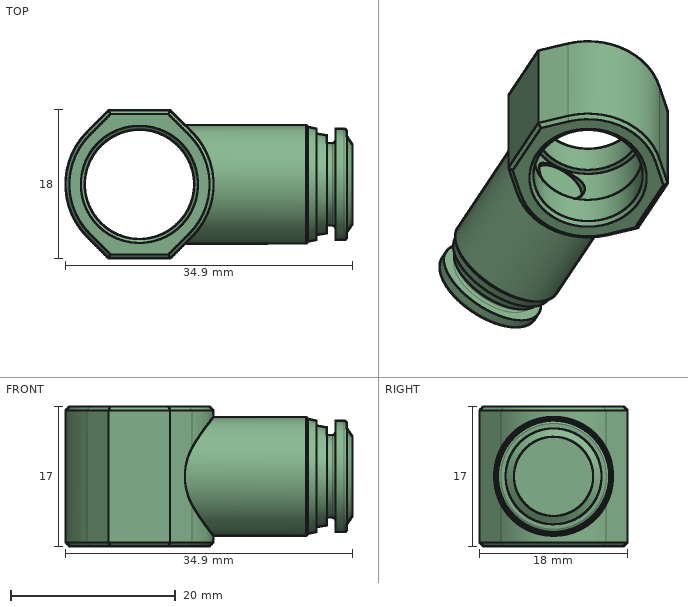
import cadquery as cq
import math

ring_radius = 9.0
ring_height = 17.0
octagon_turn = math.radians(45)
edge_chamfer = 0.5
bore_radius = 6.63
bore_chamfer = edge_chamfer

groove_half_height = 3.3
groove_radius = 7.22

arm_radius = 7.22
arm_end = 20.25
cap_lip_length = 0.25
cap_lip_radius = 6.98
cap_end = 21.55
cap_end_radius = 6.77
collet_seat_radius = 6.18
collet_seat_end = 22.75
collet_seat_end_radius = 5.97

neck_radius = 5.03
flange_start = 23.8
flange_radius = 6.77
flange_end = 25.2
flange_edge_fillet = 0.35
neck_fillet = 0.35
tip_end = 25.9
tip_base_radius = 5.83
tip_end_radius = 4.8

port_radius = 3.18
port_end = 7.3


def ring_body():
    """Round on the -X and +X sides, octagonal towards -Y and +Y, chamfered at both ends."""
    half_flat = ring_radius * math.tan(octagon_turn / 2)
    tangent = ring_radius * math.cos(octagon_turn)
    outline = (
        cq.Workplane("XY")
        .workplane(offset=-ring_height / 2)
        .moveTo(-half_flat, ring_radius)
        .lineTo(half_flat, ring_radius)
        .lineTo(tangent, tangent)
        .threePointArc((ring_radius, 0), (tangent, -tangent))
        .lineTo(half_flat, -ring_radius)
        .lineTo(-half_flat, -ring_radius)
        .lineTo(-tangent, -tangent)
        .threePointArc((-ring_radius, 0), (-tangent, tangent))
        .close()
    )
    return outline.extrude(ring_height).faces("<Z or >Z").chamfer(edge_chamfer)


def arm():
    """Stepped arm and release collar, revolved around the X axis."""
    corner_gap = 1 - math.sqrt(0.5)
    neck_corner = neck_fillet * corner_gap
    edge_corner = flange_edge_fillet * corner_gap
    profile = (
        cq.Workplane("XY")
        .lineTo(0, arm_radius)
        .lineTo(arm_end, arm_radius)
        .lineTo(arm_end + cap_lip_length, cap_lip_radius)
        .lineTo(cap_end, cap_end_radius)
        .lineTo(cap_end, collet_seat_radius)
        .lineTo(collet_seat_end, collet_seat_end_radius)
        .lineTo(collet_seat_end, neck_radius)
        .lineTo(flange_start - neck_fillet, neck_radius)
        .threePointArc(
            (flange_start - neck_corner, neck_radius + neck_corner),
            (flange_start, neck_radius + neck_fillet),
        )
        .lineTo(flange_start, flange_radius)
        .lineTo(flange_end - flange_edge_fillet, flange_radius)
        .threePointArc(
            (flange_end - edge_corner, flange_radius - edge_corner),
            (flange_end, flange_radius - flange_edge_fillet),
        )
        .lineTo(flange_end, tip_base_radius)
        .lineTo(tip_end, tip_end_radius)
        .lineTo(tip_end, 0)
        .close()
    )
    return profile.revolve(360, (0, 0, 0), (1, 0, 0))


def bore():
    """Through bore with chamfered mouths and the wider groove at mid-height."""
    mouth_radius = bore_radius + bore_chamfer
    half_height = ring_height / 2
    chamfer_start = half_height - bore_chamfer
    profile = (
        cq.Workplane("XZ")
        .moveTo(0, -half_height)
        .lineTo(mouth_radius, -half_height)
        .lineTo(bore_radius, -chamfer_start)
        .lineTo(bore_radius, -groove_half_height)
        .lineTo(groove_radius, -groove_half_height)
        .lineTo(groove_radius, groove_half_height)
        .lineTo(bore_radius, groove_half_height)
        .lineTo(bore_radius, chamfer_start)
        .lineTo(mouth_radius, half_height)
        .lineTo(0, half_height)
        .close()
    )
    return profile.revolve(360, (0, 0, 0), (0, 1, 0))


def port():
    """Round pocket along +X starting inside the bore and sunk into the groove wall."""
    return cq.Workplane("YZ").circle(port_radius).extrude(port_end)


result = ring_body().union(arm()).cut(bore()).cut(port())